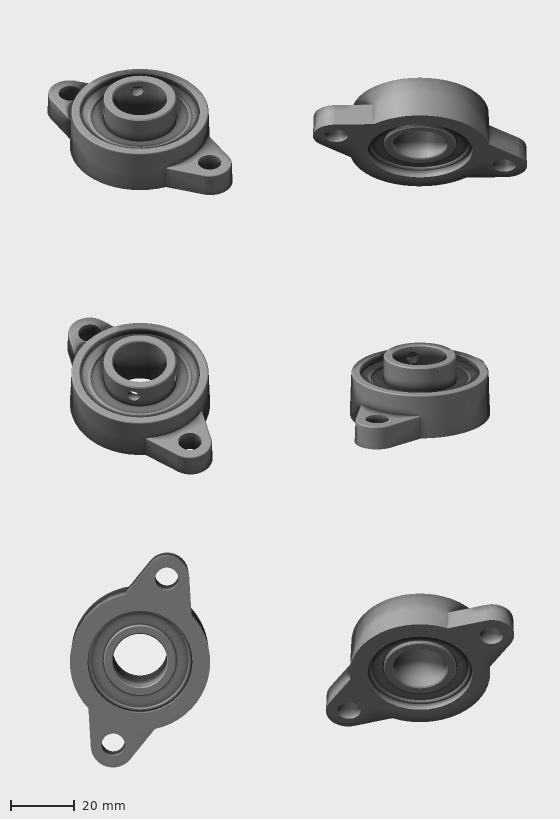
import cadquery as cq
import math


LENGTH = 70.3
BODY_DIA = 44.0
BODY_HEIGHT = 14.2
DRAFT_ANGLE = 2.0
EDGE_ROUND = 0.5

EAR_HEIGHT = 7.45
EAR_END_RADIUS = 6.95
EAR_SIDE_ANGLE = 20.9
BOLT_SPACING = 55.8
BOLT_HOLE_DIA = 7.3

RIM_BORE_DIA = 37.55
RIM_CHAMFER = 0.3
FLOOR_Z = 11.9

RING_DIA = 22.8
BORE_DIA = 17.0
RING_TOP_Z = 19.55
RING_LENGTH = 17.5
RING_CHAMFER = 0.35

RACE_SPHERE_RADIUS = 17.1
RACE_WIDTH = 10.0
RACE_CENTRE_Z = 7.2
RACE_EDGE_HEIGHT = 0.3
RACE_EDGE_DEPTH = 0.35
SEAL_DIA = 30.4
SEAL_MOUTH_DIA = 31.0
SEAL_CHAMFER = (SEAL_MOUTH_DIA - SEAL_DIA) / 2
SEAL_DEPTH = 0.85
SEAL_GAP_DIA = 23.4
SEAL_GAP_DEPTH = 0.5

SCREW_HOLE_DIA = 4.0
SCREW_HOLE_Z = 15.55
SCREW_HOLE_ANGLES = (135, 225)


def cylinder(diameter, z_bottom, z_top):
    return cq.Workplane("XY", origin=(0, 0, z_bottom)).circle(diameter / 2).extrude(z_top - z_bottom)


def race_sphere():
    """Ball shared by the outer race and the seat that holds it."""
    return cq.Workplane("XY", origin=(0, 0, RACE_CENTRE_Z)).sphere(RACE_SPHERE_RADIUS)


def make_ears():
    """Both ears as one rhombus with rounded ends, drafted and rounded on top."""
    side = math.radians(EAR_SIDE_ANGLE)
    end_x = LENGTH / 2
    centre_x = end_x - EAR_END_RADIUS
    tangent_x = centre_x + EAR_END_RADIUS * math.sin(side)
    tangent_y = EAR_END_RADIUS * math.cos(side)
    apex_y = tangent_y + tangent_x * math.tan(side)
    return (
        cq.Workplane("XY")
        .moveTo(0, apex_y)
        .lineTo(tangent_x, tangent_y)
        .threePointArc((end_x, 0), (tangent_x, -tangent_y))
        .lineTo(0, -apex_y)
        .lineTo(-tangent_x, -tangent_y)
        .threePointArc((-end_x, 0), (-tangent_x, tangent_y))
        .close()
        .extrude(EAR_HEIGHT, taper=DRAFT_ANGLE)
        .faces(">Z").edges().fillet(EDGE_ROUND)
    )


def make_housing():
    body = (
        cq.Workplane("XY").circle(BODY_DIA / 2)
        .extrude(BODY_HEIGHT, taper=DRAFT_ANGLE)
        .faces(">Z").edges().fillet(EDGE_ROUND)
    )
    housing = body.union(make_ears())

    housing = housing.cut(cylinder(RIM_BORE_DIA, FLOOR_Z, BODY_HEIGHT))
    rim_mouth = housing.faces(">Z").edges(cq.selectors.RadiusNthSelector(0))
    housing = rim_mouth.chamfer(RIM_CHAMFER)

    seat_mouth_radius = math.sqrt(RACE_SPHERE_RADIUS**2 - (FLOOR_Z - RACE_CENTRE_Z) ** 2)
    seat_bottom_z = 2 * RACE_CENTRE_Z - FLOOR_Z
    housing = housing.cut(race_sphere()).cut(cylinder(2 * seat_mouth_radius, 0, seat_bottom_z))

    bolt_holes = (
        cq.Workplane("XY")
        .pushPoints([(-BOLT_SPACING / 2, 0), (BOLT_SPACING / 2, 0)])
        .circle(BOLT_HOLE_DIA / 2).extrude(EAR_HEIGHT)
    )
    return housing.cut(bolt_holes).solids()


def seal_recess(top_z):
    """Cutter for the seal recess and the groove around the ring, in the upper race face."""
    seal_z = top_z - SEAL_DEPTH
    recess = cylinder(SEAL_DIA, seal_z, top_z)
    return recess.union(cylinder(SEAL_GAP_DIA, seal_z - SEAL_GAP_DEPTH, top_z))


def make_bearing():
    race_bottom_z = RACE_CENTRE_Z - RACE_WIDTH / 2
    race_top_z = RACE_CENTRE_Z + RACE_WIDTH / 2
    race = race_sphere().intersect(cylinder(2 * RACE_SPHERE_RADIUS, race_bottom_z, race_top_z))
    upper_recess = seal_recess(race_top_z)
    lower_recess = upper_recess.mirror("XY", (0, 0, RACE_CENTRE_Z))
    outer_edges = race.faces(">Z or <Z").edges()
    race = outer_edges.chamfer(RACE_EDGE_HEIGHT, RACE_EDGE_DEPTH)
    race = race.cut(upper_recess).cut(lower_recess)
    recess_mouths = race.faces(">Z or <Z").edges(cq.selectors.RadiusNthSelector(0))
    race = recess_mouths.chamfer(SEAL_CHAMFER)

    ring_bottom_z = RING_TOP_Z - RING_LENGTH
    ring = cylinder(RING_DIA, ring_bottom_z, RING_TOP_Z)
    bore = cylinder(BORE_DIA, ring_bottom_z, RING_TOP_Z)
    bearing = race.union(ring).cut(bore)
    bearing = bearing.faces(">Z or <Z").edges().chamfer(RING_CHAMFER)

    for angle in SCREW_HOLE_ANGLES:
        direction = (math.cos(math.radians(angle)), math.sin(math.radians(angle)), 0)
        plane = cq.Plane(origin=(0, 0, SCREW_HOLE_Z), normal=direction)
        bearing = bearing.cut(cq.Workplane(plane).circle(SCREW_HOLE_DIA / 2).extrude(RING_DIA))
    return bearing.solids()


housing = make_housing()
bearing = make_bearing()

result = cq.Compound.makeCompound([housing.val(), bearing.val()])